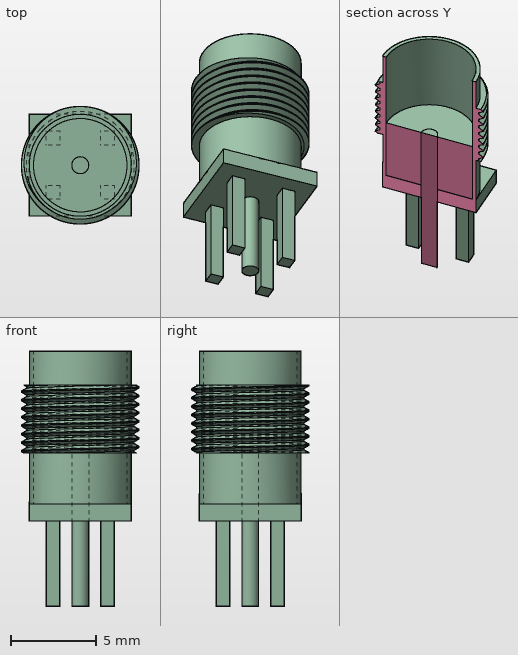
import cadquery as cq

leg_length = 5.0
base_thickness = 1.0
barrel_height = 9.0
base_top = leg_length + base_thickness

base_side = 6.0
leg_side = 0.8
leg_spacing = 3.2

barrel_diameter = base_side
bore_diameter = 5.5

pin_diameter = 1.0
insulator_height = 4.0
pin_length = base_top + insulator_height

thread_pitch = 0.5
thread_core_radius = 6.35 / 2
thread_crest_radius = 6.93 / 2
thread_root_width = 0.40
thread_crest_width = 0.0625
thread_length = 4.0
thread_bottom = base_top + 3.0
ridge_root_overlap = 0.02
crest_phase = 0.75


def cylinder(diameter, bottom, height):
    return cq.Workplane("XY", origin=(0, 0, bottom)).circle(diameter / 2).extrude(height)


def make_thread_ridge():
    """Helical ridge that overruns both ends of the thread."""
    ridge_height = thread_crest_radius - thread_core_radius
    flank_slope = (thread_root_width - thread_crest_width) / 2 / ridge_height
    half_crest = thread_crest_width / 2
    half_foot = thread_root_width / 2 + flank_slope * ridge_root_overlap
    foot_radius = thread_core_radius - ridge_root_overlap
    helix = cq.Wire.makeHelix(thread_pitch, thread_length + 2 * thread_pitch, thread_core_radius)
    ridge = (
        cq.Workplane("XZ")
        .moveTo(foot_radius, -half_foot)
        .lineTo(thread_crest_radius, -half_crest)
        .lineTo(thread_crest_radius, half_crest)
        .lineTo(foot_radius, half_foot)
        .close()
        .sweep(cq.Workplane(helix), isFrenet=True)
    )
    start_height = thread_bottom - (2 - crest_phase) * thread_pitch
    return ridge.translate((0, 0, start_height))


def make_thread():
    """Threaded band with flat ends square to the axis."""
    core = cylinder(2 * thread_core_radius, thread_bottom, thread_length)
    trim = cylinder(4 * thread_crest_radius, thread_bottom, thread_length)
    return core.union(make_thread_ridge().intersect(trim))


def make_pin():
    return cylinder(pin_diameter, 0, pin_length)


def make_insulator():
    """Disc that fills the bottom of the bore around the pin."""
    return cylinder(bore_diameter, base_top, insulator_height).cut(make_pin())


def make_shell():
    """Grounded body: legs, base and threaded barrel, bored down to the base, with a hole for the pin."""
    base = cq.Workplane("XY", origin=(0, 0, leg_length)).rect(base_side, base_side).extrude(base_thickness)
    legs = (
        cq.Workplane("XY")
        .rect(leg_spacing, leg_spacing, forConstruction=True)
        .vertices()
        .rect(leg_side, leg_side)
        .extrude(leg_length)
    )
    barrel = cylinder(barrel_diameter, base_top, barrel_height)
    bore = cylinder(bore_diameter, base_top, barrel_height)
    body = base.union(legs).union(barrel).union(make_thread())
    return body.cut(bore).cut(make_pin())


shell = make_shell()
insulator = make_insulator()
pin = make_pin()

result = cq.Compound.makeCompound([shell.val(), insulator.val(), pin.val()])